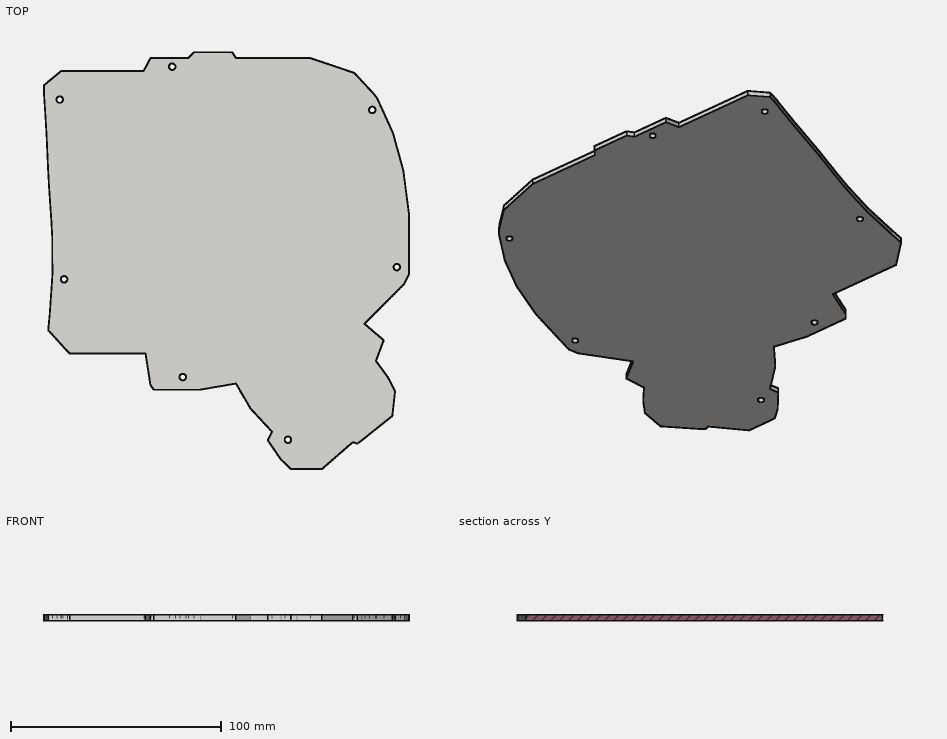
import cadquery as cq

LENGTH = 173.31
DEPTH = 197.92
THICKNESS = 3.0
HOLE_DIAMETER = 3.0

SHOULDER_Y = 189.0
TOP_STEP_Y = 195.2
LOWER_LEFT_Y = 54.8
FRONT_TAB_Y = 37.7

LEFT_EDGE = [
    (0.0, 182.2),
    (0.0, 178.1),
    (0.8, 165.7),
    (1.2, 158.9),
    (1.9, 143.1),
    (2.3, 135.6),
    (2.7, 129.4),
    (3.5, 117.8),
    (3.9, 110.3),
    (4.0, 92.5),
    (3.5, 84.9),
    (2.7, 73.3),
    (2.0, 66.0),
]

BACK_EDGE = [
    (8.2, SHOULDER_Y),
    (47.3, SHOULDER_Y),
    (50.6, TOP_STEP_Y),
    (68.5, TOP_STEP_Y),
    (71.2, DEPTH),
    (89.4, DEPTH),
    (91.1, TOP_STEP_Y),
    (126.3, TOP_STEP_Y),
    (147.3, 188.1),
]

RIGHT_EDGE = [
    (156.7, 178.0),
    (158.3, 175.8),
    (165.7, 159.5),
    (170.6, 141.8),
    (LENGTH, 121.0),
    (LENGTH, 92.5),
]

THUMB_EDGE = [
    (170.9, 87.8),
    (152.2, 69.0),
    (161.3, 61.2),
    (157.6, 51.4),
    (163.3, 43.6),
    (166.7, 37.0),
    (165.4, 25.3),
    (150.7, 13.5),
    (148.6, 12.1),
    (146.6, 12.8),
    (131.9, 0.0),
]

FRONT_EDGE = [
    (119.9, 0.0),
    (117.1, 0.1),
    (112.3, 4.8),
    (106.2, 13.7),
    (108.2, 17.8),
    (98.0, 28.8),
    (91.1, 40.6),
    (74.3, FRONT_TAB_Y),
    (52.1, FRONT_TAB_Y),
    (50.5, 40.0),
    (48.2, LOWER_LEFT_Y),
    (12.3, LOWER_LEFT_Y),
    (11.0, 56.1),
]

SCREW_HOLES = [
    (7.5, 175.4),
    (60.9, 191.0),
    (155.8, 170.5),
    (167.5, 95.9),
    (9.6, 90.1),
    (65.9, 43.7),
    (115.8, 14.0),
]


def make_plate():
    outline = LEFT_EDGE[::-1] + BACK_EDGE + RIGHT_EDGE + THUMB_EDGE + FRONT_EDGE
    return cq.Workplane("XY").polyline(outline).close().extrude(THICKNESS)


def make_screw_holes():
    return cq.Workplane("XY").pushPoints(SCREW_HOLES).circle(HOLE_DIAMETER / 2).extrude(THICKNESS)


result = make_plate().cut(make_screw_holes())